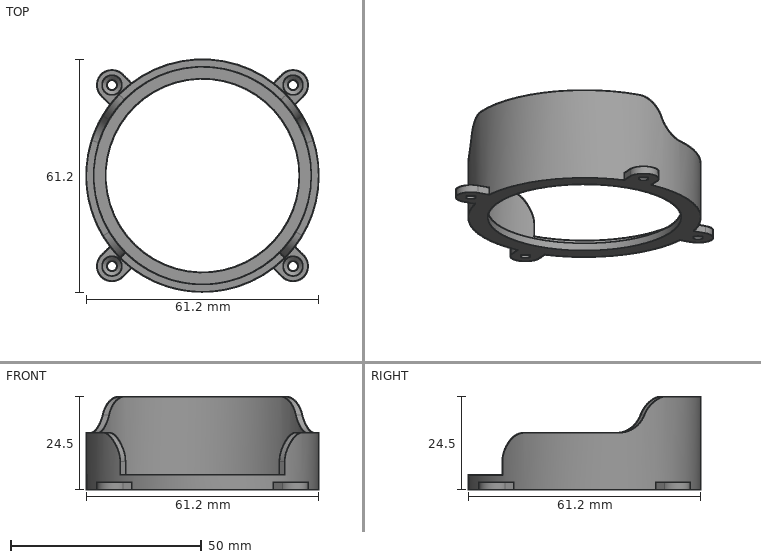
import cadquery as cq
import math

outer_radius = 30.6
inner_radius = 57.2 / 2
bore_radius = 50.8 / 2
ledge_height = 2.0
rim_height = 4.0
side_height = 15.05
total_height = 24.5

opening_half_angle = 45.0
corner_radius = 7.45
ramp_low_angle = 17.7
ramp_high_angle = 44.3

tab_thickness = 2.0
tab_radius = 4.0
tab_center_radius = 33.65
hole_diameter = 2.55
countersink_diameter = 5.2
countersink_angle = 90.0

cutter_near = 12.2
cutter_far = 33.65
cutter_top = total_height + 3.05
curve_steps = 8


def wrapped_arc(center_length, center_height, radius, start, end):
    """(angle, height) points of an arc drawn on the unrolled outer cylinder."""
    points = []
    for step in range(curve_steps + 1):
        turn = math.radians(start + (end - start) * step / curve_steps)
        length = center_length + radius * math.cos(turn)
        height = center_height + radius * math.sin(turn)
        points.append((math.degrees(length / outer_radius), height))
    return points


def radial_cutter(stretches, direction):
    """Cutter whose sides run level towards the Z axis.

    Each stretch is a list of (angle, height) points: two make a line, more make a curve.
    The cutter faces the given direction, in degrees from +X.
    """
    wires = []
    for distance in (cutter_near, cutter_far):
        edges = []
        for stretch in stretches:
            points = [
                cq.Vector(distance, distance * math.tan(math.radians(angle)), height)
                for angle, height in stretch
            ]
            if len(points) == 2:
                edges.append(cq.Edge.makeLine(*points))
            else:
                edges.append(cq.Edge.makeSpline(points))
        wires.append(cq.Wire.assembleEdges(edges))
    cutter = cq.Solid.makeLoft(wires, True)
    return cutter.rotate(cq.Vector(0, 0, 0), cq.Vector(0, 0, 1), direction)


def front_opening():
    """Opening down to the rim, with rounded upper corners."""
    half_length = outer_radius * math.radians(opening_half_angle)
    center_length = half_length + corner_radius
    center_height = side_height - corner_radius
    right_curve = wrapped_arc(center_length, center_height, corner_radius, 180, 90)
    left_curve = [(-angle, height) for angle, height in reversed(right_curve)]
    right_top = (right_curve[-1][0], cutter_top)
    left_top = (left_curve[0][0], cutter_top)
    right_foot = (opening_half_angle, rim_height)
    left_foot = (-opening_half_angle, rim_height)
    stretches = [
        [left_foot, right_foot],
        [right_foot, right_curve[0]],
        right_curve,
        [right_curve[-1], right_top],
        [right_top, left_top],
        [left_top, left_curve[0]],
        left_curve,
        [left_curve[-1], left_foot],
    ]
    return radial_cutter(stretches, -90)


def side_step():
    """Space above the +X side wall, bounded by the S-shaped ramp to the back wall."""
    low_length = outer_radius * math.radians(ramp_low_angle)
    high_length = outer_radius * math.radians(ramp_high_angle)
    half_run = (high_length - low_length) / 2
    half_rise = (total_height - side_height) / 2
    radius = (half_run**2 + half_rise**2) / (2 * half_rise)
    sweep = math.degrees(math.asin(half_run / radius))
    low_curve = wrapped_arc(low_length, side_height + radius, radius, -90, -90 + sweep)
    high_curve = wrapped_arc(high_length, total_height - radius, radius, 90 + sweep, 90)
    front_low = (-opening_half_angle, side_height)
    front_top = (-opening_half_angle, cutter_top)
    back_top = (ramp_high_angle, cutter_top)
    stretches = [
        [front_low, low_curve[0]],
        low_curve,
        high_curve,
        [high_curve[-1], back_top],
        [back_top, front_top],
        [front_top, front_low],
    ]
    return radial_cutter(stretches, 0)


def screw_tab():
    """Tab along +X, rounded at its end and reaching into the ring wall."""
    root_radius = (inner_radius + outer_radius) / 2
    length = tab_center_radius - root_radius
    arm = cq.Workplane("XY").center(root_radius + length / 2, 0)
    arm = arm.rect(length, 2 * tab_radius).extrude(tab_thickness)
    end = cq.Workplane("XY").center(tab_center_radius, 0).circle(tab_radius).extrude(tab_thickness)
    tab = arm.union(end)
    return (
        tab.faces(">Z")
        .workplane(origin=(tab_center_radius, 0, tab_thickness))
        .cskHole(hole_diameter, countersink_diameter, countersink_angle)
    )


body = cq.Workplane("XY").circle(outer_radius).circle(bore_radius).extrude(total_height)
pocket = cq.Workplane("XY", origin=(0, 0, ledge_height)).circle(inner_radius).extrude(total_height)
body = body.cut(pocket)

right_step = side_step()
body = body.cut(cq.Workplane(front_opening()))
body = body.cut(cq.Workplane(right_step))
body = body.cut(cq.Workplane(right_step.mirror("YZ")))

for tab_angle in (45, 135, 225, 315):
    body = body.union(screw_tab().rotate((0, 0, 0), (0, 0, 1), tab_angle))

result = body